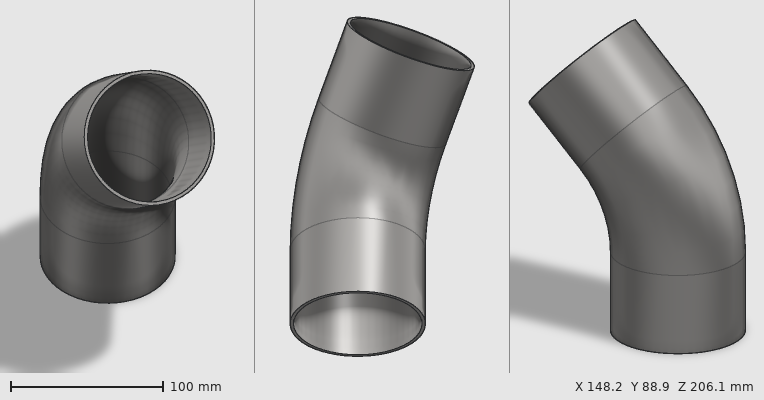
import cadquery as cq
import math

outer_diameter = 88.9
bore_diameter = 84.4
leg_length = 55.0
bend_radius = 114.3
bend_angle = 45.0

angle = math.radians(bend_angle)


def bend_point(turn):
    """Centreline point after turning through the given angle."""
    return (
        bend_radius * (1 - math.cos(turn)),
        leg_length + bend_radius * math.sin(turn),
    )


bend_end = bend_point(angle)
pipe_end = (
    bend_end[0] + leg_length * math.sin(angle),
    bend_end[1] + leg_length * math.cos(angle),
)
centreline = (
    cq.Workplane("XZ")
    .lineTo(0, leg_length)
    .threePointArc(bend_point(angle / 2), bend_end)
    .lineTo(*pipe_end)
)

ring = cq.Workplane("XY").circle(outer_diameter / 2).circle(bore_diameter / 2)
result = ring.sweep(centreline)